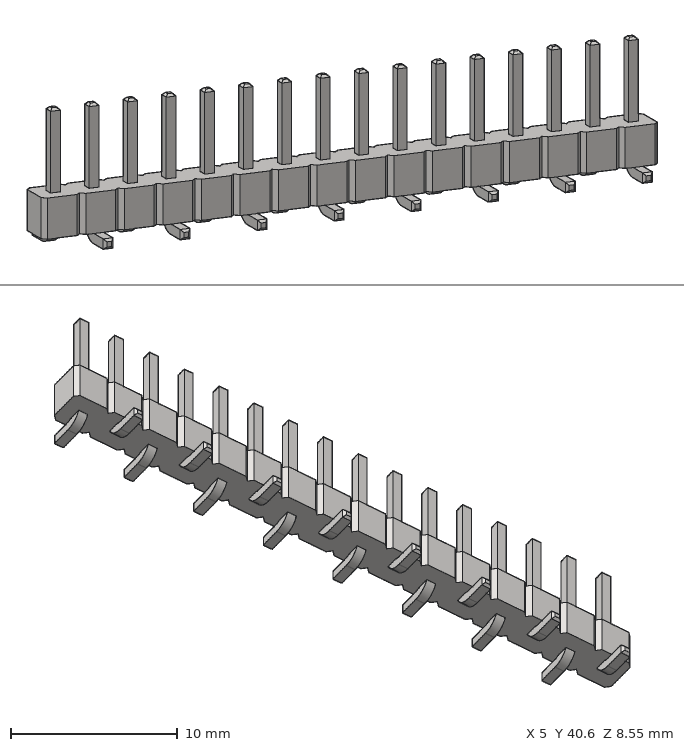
import cadquery as cq

pin_count = 16
row_length = 40.65
pitch = row_length / pin_count
body_width = 2.55
body_height = 2.55
corner_bevel = 0.3
body_bottom = 0.75

total_height = 8.55
foot_span = 5.0
wire = 0.65
half_wire = wire / 2
tip_bevel = 0.15
inner_bend_radius = 0.6
outer_bend_radius = inner_bend_radius + wire


def pin_center(index):
    """Y position of a pin, counted from the -Y end of the row."""
    return (index - (pin_count - 1) / 2) * pitch


def housing_cell(y):
    return (
        cq.Workplane("XY", origin=(0, y, body_bottom))
        .rect(body_width, pitch)
        .extrude(body_height)
        .edges("|Z")
        .chamfer(corner_bevel)
    )


def bent_pin(y, side):
    """One L-shaped pin whose foot points to +X (side = 1) or -X (side = -1)."""
    bend_start = half_wire + inner_bend_radius
    foot_end = foot_span / 2
    profile = (
        cq.Workplane("XZ", origin=(0, y + half_wire, 0))
        .moveTo(-half_wire, total_height)
        .lineTo(-half_wire, outer_bend_radius)
        .radiusArc((bend_start, 0), -outer_bend_radius)
        .lineTo(foot_end, 0)
        .lineTo(foot_end, wire)
        .lineTo(bend_start, wire)
        .radiusArc((half_wire, outer_bend_radius), inner_bend_radius)
        .lineTo(half_wire, total_height)
        .close()
    )
    pin = profile.extrude(wire)
    pin = pin.faces(">Z").chamfer(tip_bevel)
    pin = pin.faces(">X").chamfer(tip_bevel)
    if side < 0:
        pin = pin.mirror("YZ")
    return pin


result = housing_cell(pin_center(0))
for i in range(1, pin_count):
    result = result.union(housing_cell(pin_center(i)))

for i in range(pin_count):
    foot_side = -1 if i % 2 == 0 else 1
    result = result.union(bent_pin(pin_center(i), foot_side))